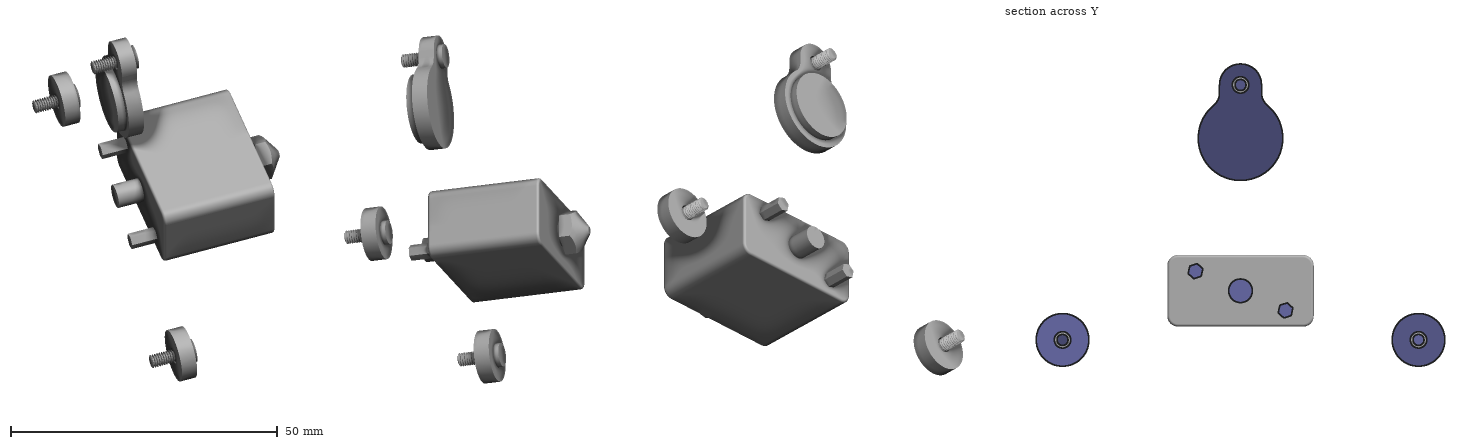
import cadquery as cq
import math


HEX_SIDES = 6

BLOCK_WIDTH = 27.45
BLOCK_LENGTH = 22.0
BLOCK_HEIGHT = 13.4
BLOCK_CORNER_RADIUS = 2.0
BLOCK_END_RADIUS = 0.5
BOSS_DIAMETER = 4.5
BOSS_LENGTH = 5.0
PIN_DIAMETER = 3.0
PIN_ANGLE = 18
PIN_X = 8.4
PIN_Z = 3.7

NECK_DIAMETER = 5.2
NECK_LENGTH = 0.7
HEX_ACROSS_FLATS = 7.5
TIP_DIAMETER = 1.4
NOZZLE_LENGTH = 5.45
CONE_HALF_ANGLE = 54

THREAD_DIAMETER = 2.5
THREAD_ROOT_DIAMETER = 1.9
THREAD_PITCH = 0.45
CREST_FLAT = THREAD_PITCH / 8
ROOT_FLAT = THREAD_PITCH / 4
HEAD_DIAMETER = 4.5
HEAD_HEIGHT = 1.0
SHANK_LENGTH = 7.5
SCREW_HOLE_DIAMETER = 3.0

PLATE_THICKNESS = 3.0
PLATE_FRONT_Y = -BOSS_LENGTH
PLATE_BACK_Y = PLATE_FRONT_Y + PLATE_THICKNESS
WASHER_DIAMETER = 10.0
OVERALL_WIDTH = 76.65
WASHER_X = (OVERALL_WIDTH - WASHER_DIAMETER) / 2
WASHER_Z = -9.2

LOBE_RADIUS = 4.0
PLATE_RADIUS = 8.0
PLATE_NECK_RADIUS = 3.0
LOBE_TO_PLATE = 10.0
LOBE_Z = 38.55
DISC_DIAMETER = 13.0
DISC_HEIGHT = 1.6


def workplane(y, x=0.0, z=0.0):
    """XZ plane at height y whose extrusions run toward +Y, with local axes -X and Z."""
    return cq.Workplane(cq.Plane(origin=(x, y, z), xDir=(-1, 0, 0), normal=(0, 1, 0)))


def cylinder(diameter, length, y, x=0.0, z=0.0):
    """Cylinder along Y that starts at y and runs toward +Y."""
    return workplane(y, x, z).circle(diameter / 2).extrude(length)


def make_block():
    """Rounded block with a round boss and two hexagonal pins on its front face."""
    block = workplane(0).rect(BLOCK_WIDTH, BLOCK_HEIGHT).extrude(BLOCK_LENGTH)
    block = block.edges("|Y").fillet(BLOCK_CORNER_RADIUS)
    block = block.faces("<Y or >Y").edges().fillet(BLOCK_END_RADIUS)
    block = block.union(cylinder(BOSS_DIAMETER, BOSS_LENGTH, -BOSS_LENGTH))
    for side in (-1, 1):
        pin = (
            workplane(-BOSS_LENGTH, side * PIN_X, -side * PIN_Z)
            .transformed(rotate=(0, 0, -PIN_ANGLE))
            .polygon(HEX_SIDES, PIN_DIAMETER)
            .extrude(BOSS_LENGTH)
        )
        block = block.union(pin)
    return block


def make_nozzle():
    """Round neck on the back of the block, then a hexagon trimmed to a cone that ends in a flat tip."""
    hex_corner_radius = HEX_ACROSS_FLATS / math.sqrt(3)
    tip_radius = TIP_DIAMETER / 2
    neck = cylinder(NECK_DIAMETER, NECK_LENGTH, BLOCK_LENGTH)
    head = (
        workplane(BLOCK_LENGTH + NECK_LENGTH)
        .transformed(rotate=(0, 0, 90))
        .polygon(HEX_SIDES, 2 * hex_corner_radius)
        .extrude(NOZZLE_LENGTH - NECK_LENGTH)
    )
    base_y = BLOCK_LENGTH
    tip_y = base_y + NOZZLE_LENGTH
    base_radius = tip_radius + NOZZLE_LENGTH * math.tan(math.radians(CONE_HALF_ANGLE))
    cone = (
        cq.Workplane("XY")
        .polyline([(0, base_y), (base_radius, base_y), (tip_radius, tip_y), (0, tip_y)])
        .close()
        .revolve(360, (0, 0, 0), (0, 1, 0))
    )
    return neck.union(head.intersect(cone))


def make_screw(x, z):
    """Screw whose thread is a row of rings along the shank, its head resting on the back of the plate."""
    crest = THREAD_DIAMETER / 2
    root = THREAD_ROOT_DIAMETER / 2
    tip_y = PLATE_BACK_Y - SHANK_LENGTH
    head_y = PLATE_BACK_Y + HEAD_HEIGHT
    turns = int(SHANK_LENGTH / THREAD_PITCH)
    profile = [(0, tip_y), (root, tip_y)]
    for turn in range(turns):
        crest_y = tip_y + (turn + 0.5) * THREAD_PITCH
        next_root_y = tip_y + (turn + 1) * THREAD_PITCH
        profile += [
            (crest, crest_y - CREST_FLAT / 2),
            (crest, crest_y + CREST_FLAT / 2),
            (root, next_root_y - ROOT_FLAT / 2),
            (root, next_root_y + ROOT_FLAT / 2),
        ]
    profile += [
        (root, PLATE_BACK_Y),
        (HEAD_DIAMETER / 2, PLATE_BACK_Y),
        (HEAD_DIAMETER / 2, head_y),
        (0, head_y),
    ]
    screw = cq.Workplane("XY").polyline(profile).close().revolve(360, (0, 0, 0), (0, 1, 0))
    return screw.translate((x, 0, z))


def make_washer(x, z):
    """Flat washer with a clearance hole for its screw."""
    return (
        workplane(PLATE_FRONT_Y, x, z)
        .circle(WASHER_DIAMETER / 2)
        .circle(SCREW_HOLE_DIAMETER / 2)
        .extrude(PLATE_THICKNESS)
    )


def make_keyhole_plate():
    """Large round plate with a screw lobe above it and a raised disc on its front."""
    reach = PLATE_RADIUS + PLATE_NECK_RADIUS
    neck_x = LOBE_RADIUS + PLATE_NECK_RADIUS
    neck_height = math.sqrt(reach**2 - neck_x**2)
    neck_z = neck_height - LOBE_TO_PLATE
    share = PLATE_RADIUS / reach
    touch_x = share * neck_x
    touch_z = share * neck_height - LOBE_TO_PLATE
    middle_angle = math.pi + math.atan2(neck_height, neck_x) / 2
    middle_x = neck_x + PLATE_NECK_RADIUS * math.cos(middle_angle)
    middle_z = neck_z + PLATE_NECK_RADIUS * math.sin(middle_angle)

    plate = (
        workplane(PLATE_FRONT_Y, 0, LOBE_Z)
        .moveTo(-LOBE_RADIUS, 0)
        .threePointArc((0, LOBE_RADIUS), (LOBE_RADIUS, 0))
        .lineTo(LOBE_RADIUS, neck_z)
        .threePointArc((middle_x, middle_z), (touch_x, touch_z))
        .threePointArc((0, -LOBE_TO_PLATE - PLATE_RADIUS), (-touch_x, touch_z))
        .threePointArc((-middle_x, middle_z), (-LOBE_RADIUS, neck_z))
        .close()
        .extrude(PLATE_THICKNESS)
    )
    hole = cylinder(SCREW_HOLE_DIAMETER, PLATE_THICKNESS, PLATE_FRONT_Y, 0, LOBE_Z)
    disc_z = LOBE_Z - LOBE_TO_PLATE
    disc = cylinder(DISC_DIAMETER, DISC_HEIGHT, PLATE_FRONT_Y - DISC_HEIGHT, 0, disc_z)
    return plate.cut(hole).union(disc)


block = make_block()
nozzle = make_nozzle()
keyhole_plate = make_keyhole_plate()

washer_places = [(-WASHER_X, WASHER_Z), (WASHER_X, WASHER_Z)]
washers = [make_washer(x, z) for x, z in washer_places]
screws = [make_screw(x, z) for x, z in washer_places + [(0, LOBE_Z)]]

result = cq.Compound.makeCompound(
    [
        block.val(),
        nozzle.val(),
        keyhole_plate.val(),
        *[washer.val() for washer in washers],
        *[screw.val() for screw in screws],
    ]
)